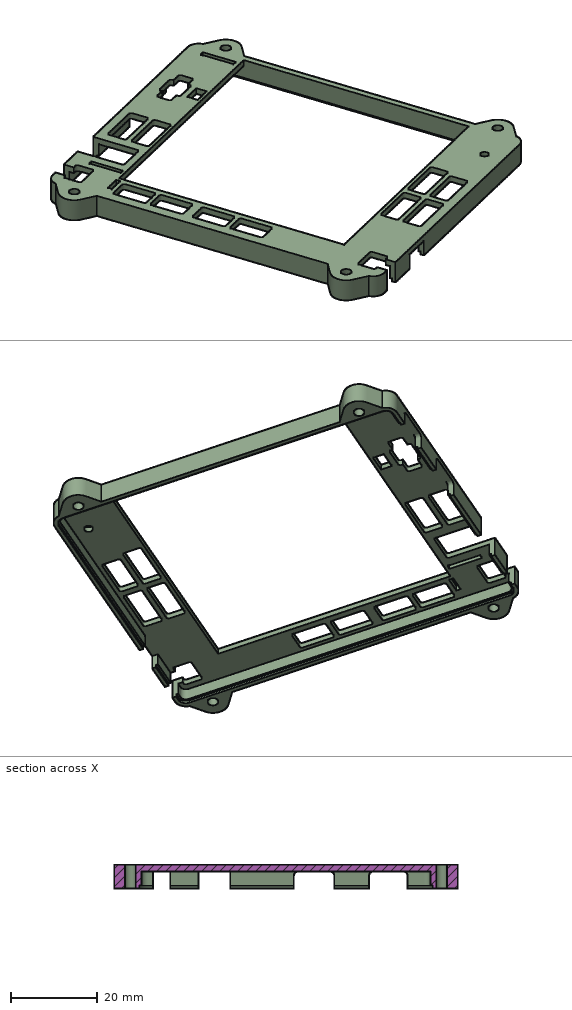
import cadquery as cq
import math

length = 87.8
overall_width = 79.5
half_length = length / 2
half_width = 35.0
height = 5.5
plate_thickness = 1.6
plate_bottom = height - plate_thickness
wall = 1.5
cross_wall = 1.7
body_corner_radius = 2.9
step_height = 0.7
step_depth = 0.5

lug_center = 36.0
lug_radius = overall_width / 2 - lug_center
lug_half_base = 5.45
lug_root = 34.4
mount_hole = 2.5
small_hole = 2.0
small_hole_at = (38.9, 24.5)

window_radius = 0.5
port_radius = 1.0

inner_x = half_length - wall
inner_y = half_width - cross_wall

opening = (-29.8, 29.8, -25.8, inner_y)

inner_left_x = (-35.3, -30.65)
outer_left_x = (-41.5, -36.6)
inner_right_x = (30.7, 35.4)
outer_right_x = (36.6, 41.4)
lower_pair_y = (-10.4, 0.5)
lower_right_y = (-10.4, 0.9)
upper_inner_y = (2.5, 13.7)
upper_outer_y = (2.5, 12.4)
bottom_row_y = (-32.4, -27.4)
bottom_row_width = 8.7
bottom_row_starts = (-27.8, -18.0, -6.85, 3.1)

windows = [
    outer_left_x + lower_pair_y,
    inner_left_x + lower_pair_y,
    inner_right_x + lower_right_y,
    outer_right_x + lower_right_y,
    inner_right_x + upper_inner_y,
    outer_right_x + upper_outer_y,
]
for start in bottom_row_starts:
    windows.append((start, start + bottom_row_width) + bottom_row_y)

slots = [
    (-39.7, -31.0, 30.65, 31.8),
    (-39.0, -30.65, -23.5, -22.5),
    (-30.0, -29.0, -30.7, -26.8),
    (-33.4, -30.65, 13.0, 17.3),
]

cutout_narrow = (-39.7, -35.9, 9.7, 20.55)
cutout_wide = (-40.6, -34.95, 12.4, 17.8)

notch_depth = 12.2
notch_y = (-20.2, -12.9)
gap_y = (-19.9, -13.3)

pocket_x = (36.6, 41.3)
pocket_y = (-31.8, -25.5)
mouth_y = (-30.7, -26.8)

ports_y = [(1.85, 11.15), (19.2, 28.1)]


def block(rect, z_min, z_max, corner_radius=0.0):
    """Upright box over a rectangle, with optional rounded vertical edges."""
    x_min, x_max, y_min, y_max = rect
    box = cq.Workplane("XY").box(x_max - x_min, y_max - y_min, z_max - z_min, centered=False)
    if corner_radius > 0:
        box = box.edges("|Z").fillet(corner_radius)
    return box.translate((x_min, y_min, z_min))


def through(rect, corner_radius=0.0):
    """Box over a rectangle that spans the full height of the part."""
    return block(rect, 0, height, corner_radius)


def lug(x_side, y_side):
    """Full-height corner lug: a round nose with straight flanks tangent to it."""
    base_drop = lug_center - half_width
    flank_length = math.hypot(lug_half_base, base_drop)
    angle = math.acos(lug_radius / flank_length) - math.atan2(base_drop, lug_half_base)
    tangent_x = lug_radius * math.cos(angle)
    tangent_y = lug_center + lug_radius * math.sin(angle)
    root_x = tangent_x + (tangent_y - lug_root) * math.tan(angle)
    profile = (
        cq.Workplane("XY")
        .moveTo(-root_x, lug_root)
        .lineTo(-tangent_x, tangent_y)
        .threePointArc((0, lug_center + lug_radius), (tangent_x, tangent_y))
        .lineTo(root_x, lug_root)
        .close()
        .extrude(height)
    )
    if y_side < 0:
        profile = profile.mirror("XZ")
    return profile.translate((x_side * lug_center, 0, 0))


def corner_pocket(x_side):
    """Rounded pocket near a lower corner together with its mouth to the outside."""
    pocket = through(pocket_x + pocket_y, window_radius)
    mouth = through((pocket_x[0] + window_radius, half_length) + mouth_y)
    shape = pocket.union(mouth)
    return shape if x_side > 0 else shape.mirror("YZ")


def side_port(y_range):
    """Opening through the -X wall, rounded at its top."""
    rect = (-half_length, -half_length + wall) + y_range
    return block(rect, 0, plate_bottom).edges("|X and >Z").fillet(port_radius)


def cavity_layer(offset, z_max):
    """Rounded block from the bottom face up, spanning the cavity widened by an offset."""
    half_x = inner_x + offset
    half_y = inner_y + offset
    corner_radius = body_corner_radius - wall + offset
    return block((-half_x, half_x, -half_y, half_y), 0, z_max, corner_radius)


body = through((-half_length, half_length, -half_width, half_width), body_corner_radius)
body = body.cut(cavity_layer(0, plate_bottom))
body = body.cut(cavity_layer(step_depth, step_height))

for x_side in (-1, 1):
    for y_side in (-1, 1):
        body = body.union(lug(x_side, y_side))
hole_places = [(x * lug_center, y * lug_center) for x in (-1, 1) for y in (-1, 1)]
body = body.cut(cq.Workplane("XY").pushPoints(hole_places).circle(mount_hole / 2).extrude(height))
body = body.cut(cq.Workplane("XY").center(*small_hole_at).circle(small_hole / 2).extrude(height))

body = body.cut(through(opening))
for rect in windows:
    body = body.cut(through(rect, window_radius))
for rect in slots:
    body = body.cut(through(rect))
body = body.cut(through(cutout_narrow, window_radius))
body = body.cut(through(cutout_wide, window_radius))

notch = through((-half_length, -half_length + notch_depth) + notch_y).edges("|Z and >X")
body = body.cut(notch.fillet(window_radius))
body = body.cut(block((inner_x, half_length) + gap_y, 0, plate_bottom))
for x_side in (-1, 1):
    body = body.cut(corner_pocket(x_side))
for y_range in ports_y:
    body = body.cut(side_port(y_range))

result = body